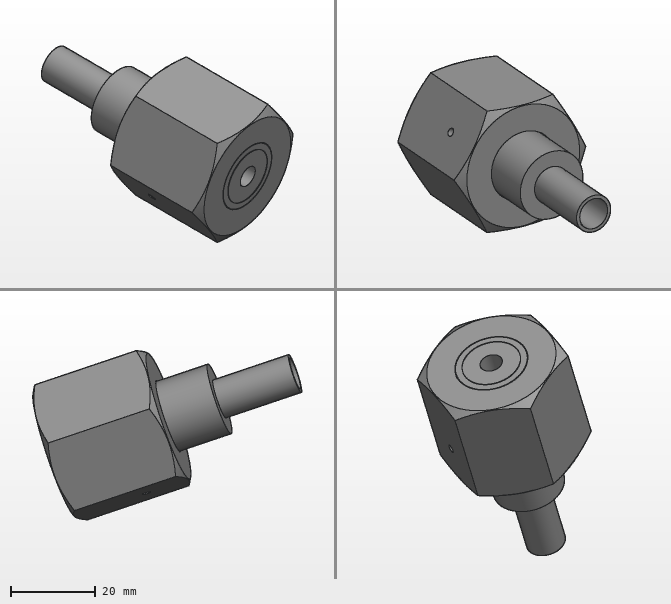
import cadquery as cq
import math

OVERALL_LENGTH = 60.64

TUBE_OD = 9.525
TUBE_ID = 7.747
TUBE_LENGTH = 19.05
COLLAR_OD = 17.46
COLLAR_EXPOSED_LENGTH = 12.87
NOSE_OD = 14.2
GLAND_BORE = 5.4

NUT_ACROSS_FLATS = 31.75
NUT_LENGTH = 28.575
NUT_BORE = 17.75
NUT_FACE_DIAMETER = 31.4
CHAMFER_ANGLE = 30.0

CROSS_HOLE_DIAMETER = 1.984
CROSS_HOLE_OFFSET = 10.5
CROSS_HOLE_TILT = 30.0

nut_start = TUBE_LENGTH + COLLAR_EXPOSED_LENGTH
nut_end = nut_start + NUT_LENGTH

nut_across_corners = NUT_ACROSS_FLATS / math.cos(math.radians(30))
corner_radius = nut_across_corners / 2
face_radius = NUT_FACE_DIAMETER / 2
chamfer_length = (corner_radius - face_radius) * math.tan(math.radians(CHAMFER_ANGLE))


def cylinder(diameter, start, end):
    """Round bar on the X axis between two X positions."""
    return cq.Workplane("YZ").workplane(offset=start).circle(diameter / 2).extrude(end - start)


def make_gland():
    """Tube stub, collar and nose in one piece, bored right through."""
    tube = cylinder(TUBE_OD, 0, TUBE_LENGTH)
    collar = cylinder(COLLAR_OD, TUBE_LENGTH, nut_end)
    nose = cylinder(NOSE_OD, nut_end, OVERALL_LENGTH)
    tube_bore = cylinder(TUBE_ID, 0, TUBE_LENGTH)
    through_bore = cylinder(GLAND_BORE, 0, OVERALL_LENGTH)
    return tube.union(collar).union(nose).cut(tube_bore).cut(through_bore)


def make_chamfer_envelope():
    """Barrel with coned ends that trims the hexagon's corners at both faces."""
    return (
        cq.Workplane("XY")
        .moveTo(nut_start, 0)
        .lineTo(nut_start, face_radius)
        .lineTo(nut_start + chamfer_length, corner_radius)
        .lineTo(nut_end - chamfer_length, corner_radius)
        .lineTo(nut_end, face_radius)
        .lineTo(nut_end, 0)
        .close()
        .revolve(360, (0, 0, 0), (1, 0, 0))
    )


def make_cross_hole():
    """Drill through the whole nut, square to the lower -Y flat and the upper +Y flat."""
    return (
        cq.Workplane("XZ")
        .center(nut_start + CROSS_HOLE_OFFSET, 0)
        .circle(CROSS_HOLE_DIAMETER / 2)
        .extrude(corner_radius, both=True)
        .rotate((0, 0, 0), (1, 0, 0), CROSS_HOLE_TILT)
    )


def make_nut():
    """Hexagon with corners on the Y axis, a plain bore and a cross hole."""
    hexagon = (
        cq.Workplane("YZ")
        .workplane(offset=nut_start)
        .polygon(6, nut_across_corners)
        .extrude(NUT_LENGTH)
    )
    bore = cylinder(NUT_BORE, nut_start, nut_end)
    return hexagon.intersect(make_chamfer_envelope()).cut(bore).cut(make_cross_hole())


gland = make_gland()
nut = make_nut()

result = cq.Compound.makeCompound([*gland.solids().vals(), *nut.solids().vals()])